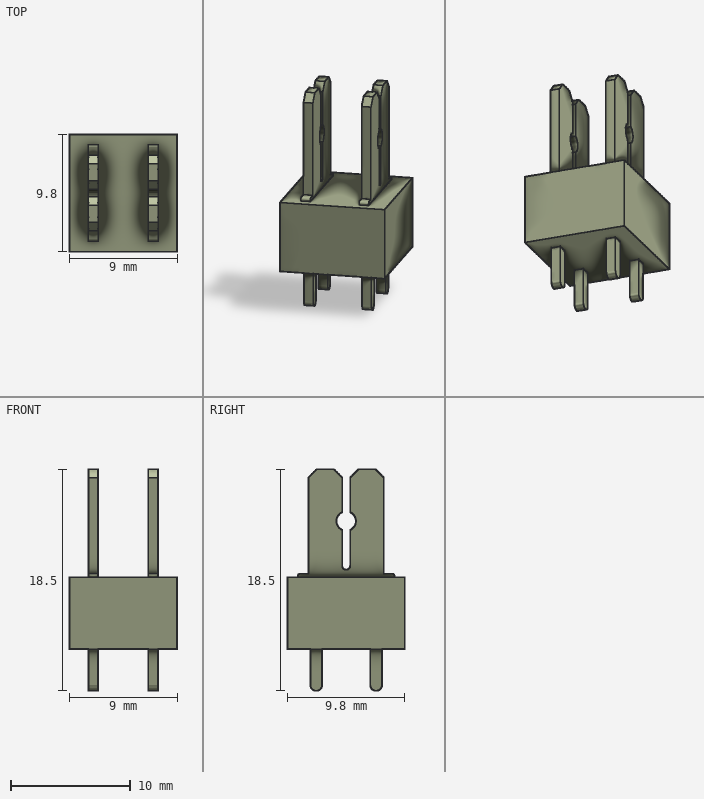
import cadquery as cq

total_height = 18.5
housing_width = 9.0
housing_depth = 9.8
housing_height = 6.0
pin_length = 3.5
housing_top = pin_length + housing_height

terminal_pitch = 5.0
terminal_thickness = 0.81
terminal_places = (-terminal_pitch / 2, terminal_pitch / 2)

pin_pitch = 5.0
pin_width = 1.0
pin_places = (-pin_pitch / 2, pin_pitch / 2)

blade_width = 6.3
shoulder_width = 8.07
shoulder_height = 0.3
shoulder_radius = 0.2
tip_chamfer = 0.7

slot_width = 0.65
slot_floor = housing_top + 0.63
opening_diameter = 1.61
opening_z = total_height - 4.33


def make_housing():
    """Rectangular block with a through hole for every pin."""
    block = cq.Workplane("XY").box(
        housing_width, housing_depth, housing_height, centered=(True, True, False)
    )
    holes = (
        cq.Workplane("XY")
        .pushPoints([(x, y) for x in terminal_places for y in pin_places])
        .rect(terminal_thickness, pin_width)
        .extrude(housing_height)
    )
    return block.cut(holes).translate((0, 0, pin_length))


def plate(width, bottom, top, y=0):
    """Flat strip of terminal stock standing between two heights."""
    return cq.Workplane("XY").box(
        terminal_thickness, width, top - bottom, centered=(True, True, False)
    ).translate((0, y, bottom))


def slot_cutter():
    """Open-topped slot with a half-round floor, joined to the round opening."""
    half_slot = slot_width / 2
    slot = (
        cq.Workplane("YZ")
        .moveTo(-half_slot, total_height)
        .lineTo(-half_slot, slot_floor + half_slot)
        .threePointArc((0, slot_floor), (half_slot, slot_floor + half_slot))
        .lineTo(half_slot, total_height)
        .close()
        .extrude(terminal_thickness / 2, both=True)
    )
    opening = (
        cq.Workplane("YZ")
        .center(0, opening_z)
        .circle(opening_diameter / 2)
        .extrude(terminal_thickness / 2, both=True)
    )
    return slot.union(opening)


def make_terminal(x):
    """Forked blade, shoulder and two round-ended pins in one sheet."""
    shoulder = plate(shoulder_width, housing_top, housing_top + shoulder_height)
    shoulder = shoulder.faces(">Z").edges("|X").fillet(shoulder_radius)

    blade = plate(blade_width, housing_top, total_height).cut(slot_cutter())
    blade = blade.faces(">Z").edges("|X").chamfer(tip_chamfer)

    terminal = shoulder.union(blade)
    for y in pin_places:
        pin_radius = pin_width / 2
        shank = plate(pin_width, pin_radius, housing_top, y)
        rounded_end = (
            cq.Workplane("YZ")
            .center(y, pin_radius)
            .circle(pin_radius)
            .extrude(terminal_thickness / 2, both=True)
        )
        terminal = terminal.union(shank.union(rounded_end))
    return terminal.translate((x, 0, 0))


housing = make_housing()
terminals = [make_terminal(x) for x in terminal_places]

result = cq.Compound.makeCompound([housing.solids().val(), *[terminal.solids().val() for terminal in terminals]])